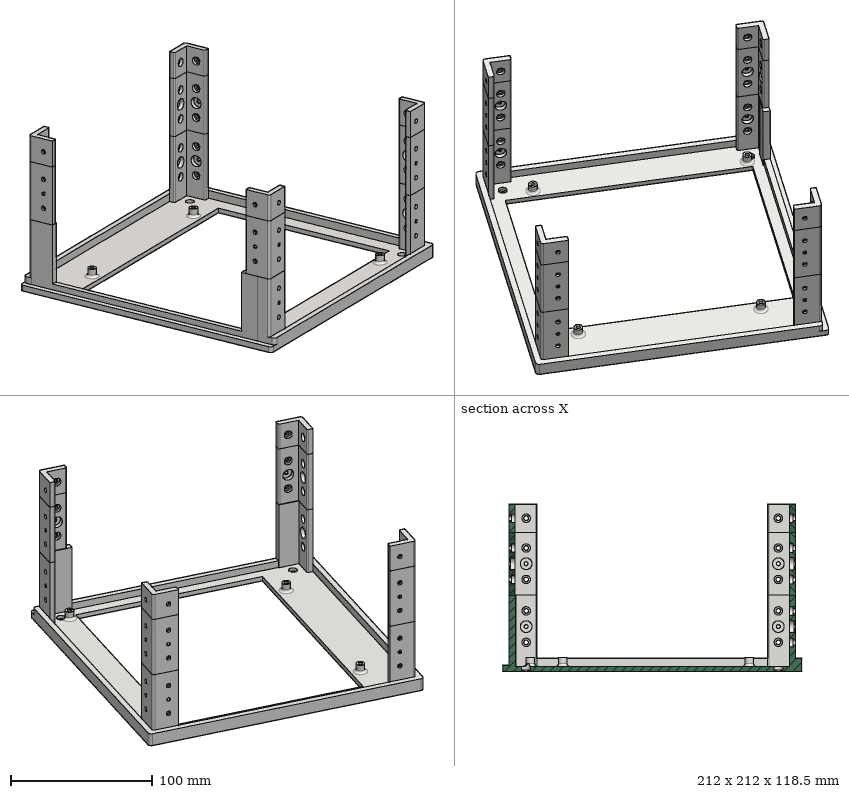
import cadquery as cq
TRAY_SIZE = 212.0
TRAY_HEIGHT = 9.5
FLOOR_THICKNESS = 3.5
LEDGE_HEIGHT = 4.5
WALL_THICKNESS = 4.5
FRONT_WALL_HEIGHT = 9.0
TRAY_CORNER_RADIUS = 2.5
HALF_SIZE = TRAY_SIZE / 2
INNER_HALF = HALF_SIZE - WALL_THICKNESS

OPENING_LEFT_BORDER = 40.3
OPENING_RIGHT_BORDER = 27.8
OPENING_REAR_BORDER = 16.1
OPENING_FRONT_BORDER = 17.0

OVERALL_HEIGHT = 118.5
UNIT_HEIGHT = 44.5
STUB_TOP = TRAY_HEIGHT + UNIT_HEIGHT
MIDDLE_TOP = STUB_TOP + UNIT_HEIGHT
LEG_WIDTH = 20.0
LEG_THICKNESS = 4.5
POST_CORNER_RADIUS = 1.7
LEG_TIP_RADIUS = 1.0

HOLE_INSET = 12.3
HOLE_PITCH = UNIT_HEIGHT / 4
RAIL_HOLE_DIAMETER = 3.2
RAIL_BORE_DIAMETER = 6.0
CENTRE_HOLE_DIAMETER = 2.5
CENTRE_BORE_DIAMETER = 8.3
RAIL_BORE_DEPTH = 2.5
CENTRE_BORE_DEPTH = 3.4

PLATE_THICKNESS = 5.0
LEFT_PLATE_START = -99.5
LEFT_PLATE_END = LEG_WIDTH - INNER_HALF
RIGHT_PLATE_START = 77.8
RIGHT_PLATE_END = 91.4

CORNER_HOLE_OFFSET = 89.5
CORNER_HOLE_DIAMETER = 3.0
CORNER_BORE_DIAMETER = 6.1
CORNER_BORE_DEPTH = 2.5

STANDOFF_POSITIONS = [(-73.0, 68.7), (84.4, 68.7), (-73.0, -63.4), (84.4, -86.3)]
STANDOFF_HEIGHT = 6.4
STANDOFF_DIAMETER = 6.1
STANDOFF_HOLE_DIAMETER = 3.0
STANDOFF_FLARE_RADIUS = 2.01


def box(x_range, y_range, z_range):
    """A box between the given limits along each axis."""
    size = [end - start for start, end in (x_range, y_range, z_range)]
    corner = (x_range[0], y_range[0], z_range[0])
    return cq.Workplane("XY").box(*size, centered=False).translate(corner)


def counterbored_cutter(hole_diameter, bore_diameter, bore_depth, thickness):
    """Cutter along Z for a hole from z = 0 to the thickness, counterbored at the far end."""
    hole = hole_diameter / 2
    bore = bore_diameter / 2
    profile = [
        (0, 0),
        (hole, 0),
        (hole, thickness - bore_depth),
        (bore, thickness - bore_depth),
        (bore, thickness),
        (0, thickness),
    ]
    return cq.Workplane("XZ").polyline(profile).close().revolve(360, (0, 0, 0), (0, 1, 0))




def place_at_corner(shape, turns):
    """Move a shape from the origin to the front-left corner, then on by quarter turns."""
    at_corner = shape.translate((-INNER_HALF, -INNER_HALF, 0))
    return at_corner.rotate((0, 0, 0), (0, 0, 1), 90 * turns)


def post_piece(bottom, top):
    """Length of L-section, with its outer corner on the Z axis and its legs along +X and +Y."""
    outline = [
        (0, 0),
        (LEG_WIDTH, 0),
        (LEG_WIDTH, LEG_THICKNESS),
        (LEG_THICKNESS, LEG_THICKNESS),
        (LEG_THICKNESS, LEG_WIDTH),
        (0, LEG_WIDTH),
    ]
    piece = cq.Workplane("XY").workplane(offset=bottom).polyline(outline).close().extrude(top - bottom)
    middle = (bottom + top) / 2
    rounded_edges = [
        (0, 0, POST_CORNER_RADIUS),
        (LEG_WIDTH, LEG_THICKNESS, LEG_TIP_RADIUS),
        (LEG_THICKNESS, LEG_WIDTH, LEG_TIP_RADIUS),
    ]
    for x, y, radius in rounded_edges:
        piece = piece.edges(cq.NearestToPointSelector((x, y, middle))).fillet(radius)
    return piece


def rail_hole_cutter():
    return counterbored_cutter(RAIL_HOLE_DIAMETER, RAIL_BORE_DIAMETER, RAIL_BORE_DEPTH, LEG_THICKNESS)


def centre_hole_cutter():
    return counterbored_cutter(CENTRE_HOLE_DIAMETER, CENTRE_BORE_DIAMETER, CENTRE_BORE_DEPTH, LEG_THICKNESS)


def cut_leg_hole(piece, cutter, height, on_x_leg=True, on_y_leg=True):
    """Cut one hole at the given height through the chosen legs of a post piece."""
    if on_x_leg:
        through_x_leg = cutter.rotate((0, 0, 0), (1, 0, 0), -90)
        piece = piece.cut(through_x_leg.translate((HOLE_INSET, 0, height)))
    if on_y_leg:
        through_y_leg = cutter.rotate((0, 0, 0), (0, 1, 0), 90)
        piece = piece.cut(through_y_leg.translate((0, HOLE_INSET, height)))
    return piece


def cut_unit_holes(piece, centre_height, on_x_leg=True, on_y_leg=True):
    """Cut a centre hole with a rail hole above and below it."""
    piece = cut_leg_hole(piece, centre_hole_cutter(), centre_height, on_x_leg, on_y_leg)
    for height in (centre_height - HOLE_PITCH, centre_height + HOLE_PITCH):
        piece = cut_leg_hole(piece, rail_hole_cutter(), height, on_x_leg, on_y_leg)
    return piece


def make_post_stub(turns):
    """Lowest part of a post, which is part of the tray; the front legs have no holes."""
    stub = post_piece(FLOOR_THICKNESS, STUB_TOP)
    corner = (0, POST_CORNER_RADIUS)
    stub = stub.union(box(corner, corner, (FLOOR_THICKNESS, TRAY_HEIGHT)))
    stub = cut_unit_holes(stub, TRAY_HEIGHT + UNIT_HEIGHT / 2, on_x_leg=turns != 0, on_y_leg=turns != 1)
    return place_at_corner(stub, turns)


def make_middle_piece(turns):
    piece = post_piece(STUB_TOP, MIDDLE_TOP)
    return place_at_corner(cut_unit_holes(piece, STUB_TOP + UNIT_HEIGHT / 2), turns)


def make_top_piece(turns):
    piece = post_piece(MIDDLE_TOP, OVERALL_HEIGHT)
    hole_height = (MIDDLE_TOP + OVERALL_HEIGHT) / 2
    return place_at_corner(cut_leg_hole(piece, rail_hole_cutter(), hole_height), turns)




def make_open_tray():
    """Floor with its opening and the side and rear walls; a bare ledge runs along the front."""
    outer = (-HALF_SIZE, HALF_SIZE)
    inner = (-INNER_HALF, INNER_HALF)
    body = box(outer, outer, (0, TRAY_HEIGHT))
    body = body.cut(box(outer, (-HALF_SIZE, -INNER_HALF), (LEDGE_HEIGHT, TRAY_HEIGHT)))
    body = body.edges("|Z").fillet(TRAY_CORNER_RADIUS)
    body = body.cut(box(inner, inner, (FLOOR_THICKNESS, TRAY_HEIGHT)))
    opening_x = (OPENING_LEFT_BORDER - HALF_SIZE, HALF_SIZE - OPENING_RIGHT_BORDER)
    opening_y = (OPENING_FRONT_BORDER - HALF_SIZE, HALF_SIZE - OPENING_REAR_BORDER)
    return body.cut(box(opening_x, opening_y, (0, FLOOR_THICKNESS)))


def make_front_frame():
    """Low wall behind the front ledge, with an upright plate at each end."""
    left_plate = front_upright(LEFT_PLATE_START, LEFT_PLATE_END, PLATE_THICKNESS, STUB_TOP)
    right_plate = front_upright(RIGHT_PLATE_START, RIGHT_PLATE_END, PLATE_THICKNESS, STUB_TOP)
    wall = front_upright(LEFT_PLATE_END, RIGHT_PLATE_START, WALL_THICKNESS, FRONT_WALL_HEIGHT)
    return wall.union(left_plate).union(right_plate)


def front_upright(start, end, thickness, top):
    """Slab on the tray floor just behind the front ledge, between two X positions."""
    return box((start, end), (-INNER_HALF, thickness - INNER_HALF), (FLOOR_THICKNESS, top))


def make_standoff(position):
    """Stud from the tray's underside to its top, with a concave flare where it leaves the floor."""
    radius = STANDOFF_DIAMETER / 2
    top = FLOOR_THICKNESS + STANDOFF_HEIGHT
    flare = STANDOFF_FLARE_RADIUS
    bulge = flare * (1 - 0.5**0.5)
    profile = (
        cq.Workplane("XZ")
        .lineTo(radius + flare, 0)
        .lineTo(radius + flare, FLOOR_THICKNESS)
        .threePointArc((radius + bulge, FLOOR_THICKNESS + bulge), (radius, FLOOR_THICKNESS + flare))
        .lineTo(radius, top)
        .lineTo(0, top)
        .close()
    )
    return profile.revolve(360, (0, 0, 0), (0, 1, 0)).translate((*position, 0))


def cut_standoff_bores(body):
    height = FLOOR_THICKNESS + STANDOFF_HEIGHT
    bores = cq.Workplane("XY").pushPoints(STANDOFF_POSITIONS).circle(STANDOFF_HOLE_DIAMETER / 2).extrude(height)
    return body.cut(bores)


def cut_corner_holes(body):
    """Counterbored holes in the floor; the head clearance also trims the flare of a near standoff."""
    cutter = counterbored_cutter(
        CORNER_HOLE_DIAMETER, CORNER_BORE_DIAMETER, CORNER_BORE_DEPTH, FLOOR_THICKNESS
    )
    clearance = cq.Workplane("XY").workplane(offset=FLOOR_THICKNESS).circle(CORNER_BORE_DIAMETER / 2)
    cutter = cutter.union(clearance.extrude(STANDOFF_FLARE_RADIUS))
    for x in (-CORNER_HOLE_OFFSET, CORNER_HOLE_OFFSET):
        for y in (-CORNER_HOLE_OFFSET, CORNER_HOLE_OFFSET):
            body = body.cut(cutter.translate((x, y, 0)))
    return body


def make_tray():
    body = make_open_tray()
    for position in STANDOFF_POSITIONS:
        body = body.union(make_standoff(position))
    body = cut_corner_holes(cut_standoff_bores(body))
    for turns in range(4):
        body = body.union(make_post_stub(turns))
    front_frame = make_front_frame()
    return body.cut(front_frame).union(front_frame, clean=False)



tray = make_tray()
middle_pieces = [make_middle_piece(turns) for turns in range(4)]
top_pieces = [make_top_piece(turns) for turns in range(4)]

bodies = [tray, *middle_pieces, *top_pieces]
result = cq.Compound.makeCompound([body.val() for body in bodies])